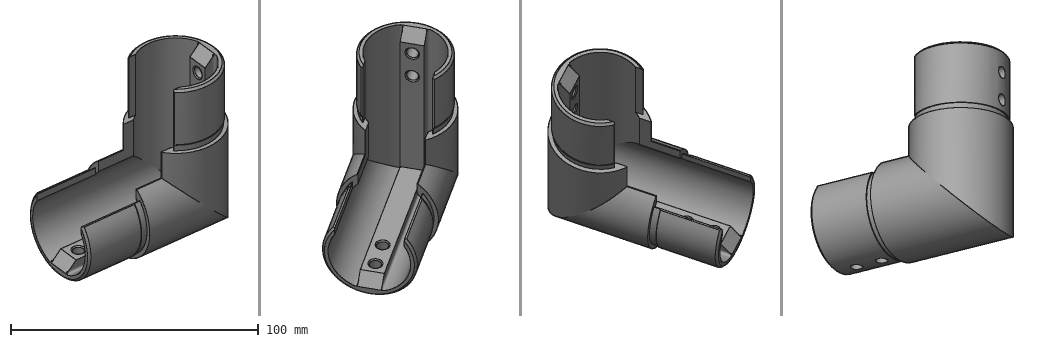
import cadquery as cq


SLEEVE_RADIUS = 21.2
BORE_RADIUS = 17.2
SLEEVE_SLOT_WIDTH = 24.6
SLEEVE_LIP = 17.0

OVERALL_LENGTH = 81.0
LEG_END = OVERALL_LENGTH - SLEEVE_RADIUS
SPIGOT_LENGTH = 30.0
SPIGOT_START = LEG_END - SPIGOT_LENGTH
SPIGOT_RADIUS = 19.75
SPIGOT_SLOT_WIDTH = 29.0
SPIGOT_LIP = 12.5
END_CHAMFER = 1.0
NECK_LENGTH = 3.0
NECK_RADIUS = 19.35

RIB_WIDTH = 10.0
RIB_FACE = 11.2
RIB_BEVEL = 4.9
RIB_FILLET = 1.0

HOLE_DIAMETER = 5.0
HOLE_CHAMFER = 0.5
HOLE_END_DISTANCES = (10.0, 22.0)

CLEARANCE = 10.0


def cylinder(radius, start, length):
    """Cylinder on the leg axis, from z = start."""
    return cq.Workplane("XY").workplane(offset=start).circle(radius).extrude(length)


def front_box(width, y_back, z_bottom):
    """Box centred on x = 0, reaching out to -Y from y_back and past the leg end."""
    depth = SLEEVE_RADIUS + CLEARANCE + y_back
    height = LEG_END + CLEARANCE - z_bottom
    return cq.Workplane("XY").box(width, depth, height, centered=(True, False, False)).translate(
        (0, y_back - depth, z_bottom)
    )


def leg_outside():
    """Stepped outside of one leg: sleeve, neck and chamfered spigot."""
    sleeve = cylinder(SLEEVE_RADIUS, -SLEEVE_RADIUS, SPIGOT_START + SLEEVE_RADIUS)
    neck = cylinder(NECK_RADIUS, SPIGOT_START, NECK_LENGTH)
    spigot = cylinder(SPIGOT_RADIUS, SPIGOT_START + NECK_LENGTH, SPIGOT_LENGTH - NECK_LENGTH)
    spigot = spigot.faces(">Z").chamfer(END_CHAMFER)
    return sleeve.union(neck).union(spigot)


def leg_bore():
    """Empty space inside one leg: the bore less the filleted rib, plus the bevel at the rib end."""
    rib_depth = BORE_RADIUS + CLEARANCE - RIB_FACE
    rib = (
        cq.Workplane("XY")
        .box(RIB_WIDTH, rib_depth, OVERALL_LENGTH, centered=(True, False, False))
        .translate((0, RIB_FACE, -SLEEVE_RADIUS))
    )
    bore = cylinder(BORE_RADIUS, -SLEEVE_RADIUS, OVERALL_LENGTH).cut(rib)
    base_corners = cq.selectors.BoxSelector(
        (-RIB_WIDTH, RIB_FACE + RIB_FILLET, -OVERALL_LENGTH),
        (RIB_WIDTH, BORE_RADIUS, OVERALL_LENGTH),
    )
    bore = bore.edges("|Z").edges(base_corners).fillet(RIB_FILLET)
    bevel = (
        cq.Workplane("YZ")
        .moveTo(RIB_FACE, LEG_END - RIB_BEVEL)
        .lineTo(RIB_FACE + RIB_BEVEL, LEG_END)
        .lineTo(RIB_FACE, LEG_END)
        .close()
        .extrude(RIB_WIDTH / 2, both=True)
    )
    return bore.union(bevel)


def leg_slots():
    """Front opening of one leg, wider along the spigot, with the lips trimmed flat."""
    sleeve_slot = front_box(SLEEVE_SLOT_WIDTH, 0, 0)
    sleeve_trim = front_box(2 * OVERALL_LENGTH, -SLEEVE_LIP, SLEEVE_LIP)
    spigot_slot = front_box(SPIGOT_SLOT_WIDTH, 0, SPIGOT_START)
    spigot_trim = front_box(2 * OVERALL_LENGTH, -SPIGOT_LIP, SPIGOT_START)
    return sleeve_slot.union(sleeve_trim).union(spigot_slot).union(spigot_trim)


def screw_hole(end_distance):
    """Through hole from the rib face to the back, chamfered at the rib face."""
    radius = HOLE_DIAMETER / 2
    y_back = SLEEVE_RADIUS + CLEARANCE
    return (
        cq.Workplane("XY")
        .moveTo(0, RIB_FACE)
        .lineTo(radius + HOLE_CHAMFER, RIB_FACE)
        .lineTo(radius, RIB_FACE + HOLE_CHAMFER)
        .lineTo(radius, y_back)
        .lineTo(0, y_back)
        .close()
        .revolve(360, (0, 0, 0), (0, 1, 0))
        .translate((0, 0, LEG_END - end_distance))
    )


def mitre_side():
    """Wedge-shaped space on the upper side of the mitre plane z = -y."""
    reach = 2 * OVERALL_LENGTH
    return (
        cq.Workplane("YZ")
        .moveTo(-reach, reach)
        .lineTo(reach, -reach)
        .lineTo(reach, reach)
        .close()
        .extrude(reach, both=True)
    )


def build_leg():
    """Upright leg, cut off on the mitre plane."""
    leg = leg_outside().cut(leg_bore()).cut(leg_slots())
    for end_distance in HOLE_END_DISTANCES:
        leg = leg.cut(screw_hole(end_distance))
    return leg.intersect(mitre_side())


upright_leg = build_leg()
level_leg = upright_leg.mirror(cq.Vector(0, 1, 1), (0, 0, 0))
result = upright_leg.union(level_leg)